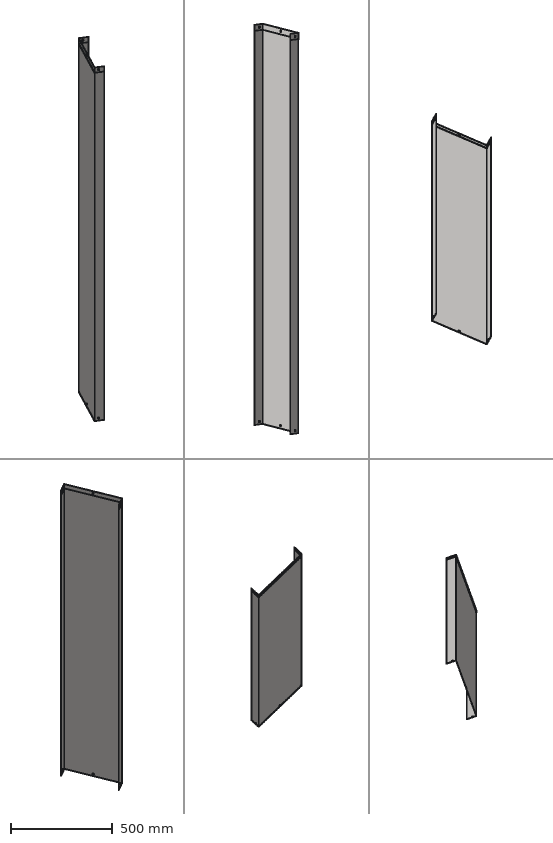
import cadquery as cq

sheet = 0.75
length = 1999.0
body_width = 300.0
body_depth = 50.0

straight_collar_height = 30.0
step = sheet
width = body_width + 2 * step
depth = body_depth + step
lap = sheet
collar_height = straight_collar_height + lap

hole_diameter = 7.0
hole_end_distance = 15.0
side_hole_from_back = 30.0

back_y = depth / 2
side_hole_y = back_y - side_hole_from_back


def channel(inset, z_bottom, z_top, thickness):
    """Vertical U-channel open towards +Y, inset from the envelope on its closed sides."""

    def block(offset):
        half_width = width / 2 - offset
        front_y = -depth / 2 + offset
        return (
            cq.Workplane("XY", origin=(0, 0, z_bottom))
            .moveTo(-half_width, back_y)
            .lineTo(-half_width, front_y)
            .lineTo(half_width, front_y)
            .lineTo(half_width, back_y)
            .close()
            .extrude(z_top - z_bottom)
        )

    outer = block(inset)
    inner = block(inset + thickness)
    return outer.cut(inner)


collar_bottom = length / 2 - collar_height
body = channel(step, -length / 2, collar_bottom + lap, sheet)
collar = channel(0, collar_bottom, length / 2, sheet)
result = body.union(collar)

for end in (-1, 1):
    hole_z = end * (length / 2 - hole_end_distance)
    face_hole = (
        cq.Workplane("XZ", origin=(0, 0, hole_z))
        .circle(hole_diameter / 2)
        .extrude(depth)
    )
    flange_holes = (
        cq.Workplane("YZ", origin=(0, side_hole_y, hole_z))
        .circle(hole_diameter / 2)
        .extrude(width, both=True)
    )
    result = result.cut(face_hole).cut(flange_holes)